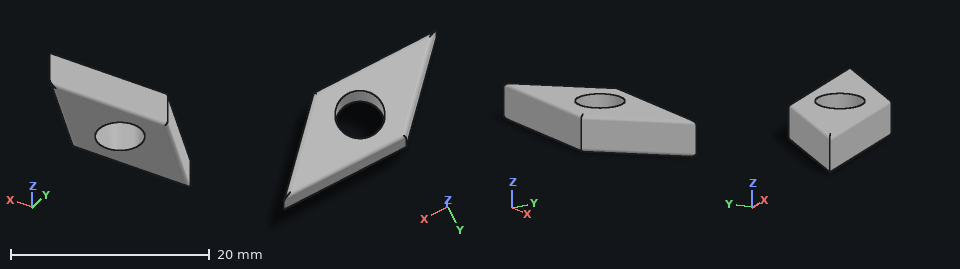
import cadquery as cq

length = 22.0
width = 8.6
thickness = 4.0
side_length = 14.0
hole_diameter = 5.0
rim_radius = 0.5

half_length = length / 2
half_width = width / 2

outline = [
    (-half_length, -half_width),
    (side_length - half_length, -half_width),
    (half_length, half_width),
    (half_length - side_length, half_width),
]

plate = cq.Workplane("XY").polyline(outline).close().extrude(thickness)

plate = plate.faces("<Z or >Z").edges().fillet(rim_radius)

result = plate.faces(">Z").workplane(origin=(0, 0, thickness)).hole(hole_diameter)